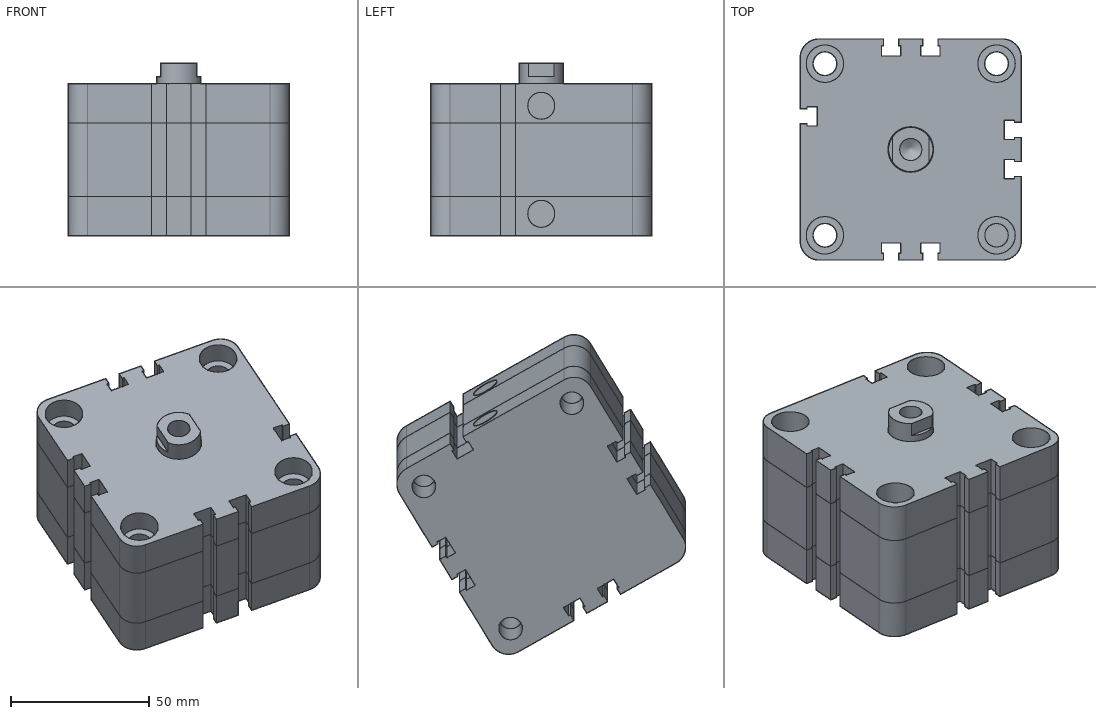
import cadquery as cq
import math

body_side = 80.0
body_height = 55.0
cap_height = 14.2
corner_radius = 7.0
half_side = body_side / 2
barrel_height = body_height - 2 * cap_height
barrel_base = cap_height
top_cap_base = cap_height + barrel_height

slot_mouth_width = 5.4
slot_lip_depth = 2.6
slot_inner_width = 6.9
slot_depth = 6.2
slot_pair_spacing = 14.2
single_slot_offset = 12.0

mount_spacing = 62.0
mount_hole_diameter = 8.5
counterbore_diameter = 13.5
counterbore_depth = 8.5

port_diameter = 9.8
port_depth = 0.2
port_end_distance = 8.0

rod_diameter = 16.0
rod_bore_diameter = 16.5
rod_projection = 7.4
flat_height = 5.0
across_flats = 13.0
rod_hole_diameter = 8.0
rod_hole_depth = 12.0
drill_point_angle = 118.0

mount_offset = mount_spacing / 2
blind_corner = (mount_offset, -mount_offset)
through_corners = [
    (-mount_offset, -mount_offset),
    (-mount_offset, mount_offset),
    (mount_offset, mount_offset),
]
all_corners = through_corners + [blind_corner]


def t_slot(side_angle, offset, base, height):
    """T-slot cutter on the +X side, moved along that side and then turned about Z."""
    mouth = cq.Workplane("XY").box(slot_depth, slot_mouth_width, height, centered=(False, True, False))
    inner_depth = slot_depth - slot_lip_depth
    inner = cq.Workplane("XY").box(inner_depth, slot_inner_width, height, centered=(False, True, False))
    return (
        mouth.union(inner)
        .translate((half_side - slot_depth, offset, base))
        .rotate((0, 0, 0), (0, 0, 1), side_angle)
    )


def slotted_block(base, height):
    """Rounded square block with a pair of T-slots on three sides and one on the -X side."""
    block = (
        cq.Workplane("XY", origin=(0, 0, base))
        .rect(body_side, body_side)
        .extrude(height)
        .edges("|Z")
        .fillet(corner_radius)
    )
    for side_angle in (-90, 0, 90):
        for direction in (-1, 1):
            block = block.cut(t_slot(side_angle, direction * slot_pair_spacing / 2, base, height))
    return block.cut(t_slot(180, -single_slot_offset, base, height))


def drill(block, corners, diameter, base, depth):
    """Cut round holes at the given corners, upward from the base height."""
    return block.cut(
        cq.Workplane("XY", origin=(0, 0, base)).pushPoints(corners).circle(diameter / 2).extrude(depth)
    )


def cut_port(cap, port_z):
    """Cut the shallow round port seat into the -X side."""
    return cap.cut(
        cq.Workplane("YZ", origin=(-half_side, 0, port_z)).circle(port_diameter / 2).extrude(port_depth)
    )


def make_bottom_cap():
    cap = slotted_block(0, cap_height)
    cap = drill(cap, through_corners, mount_hole_diameter, 0, cap_height)
    return cut_port(cap, port_end_distance)


def make_barrel():
    barrel = slotted_block(barrel_base, barrel_height)
    return drill(barrel, through_corners, mount_hole_diameter, barrel_base, barrel_height)


def make_top_cap():
    cap = slotted_block(top_cap_base, cap_height)
    cap = drill(cap, all_corners, mount_hole_diameter, top_cap_base, cap_height)
    cap = drill(cap, all_corners, counterbore_diameter, body_height - counterbore_depth, counterbore_depth)
    cap = drill(cap, [(0, 0)], rod_bore_diameter, top_cap_base, cap_height)
    return cut_port(cap, body_height - port_end_distance)


def make_rod():
    """Rod standing on the barrel, with flats on the X sides and a drilled hole in its end."""
    rod_top = body_height + rod_projection
    rod_length = rod_top - top_cap_base
    rod = cq.Workplane("XY", origin=(0, 0, top_cap_base)).circle(rod_diameter / 2).extrude(rod_length)
    flat_cutter = (
        cq.Workplane("XY", origin=(0, 0, rod_top - flat_height))
        .rect(2 * rod_diameter, 2 * rod_diameter)
        .rect(across_flats, 2 * rod_diameter)
        .extrude(flat_height)
    )
    hole_radius = rod_hole_diameter / 2
    point_depth = hole_radius / math.tan(math.radians(drill_point_angle / 2))
    hole_floor = rod_top - rod_hole_depth
    drilled_hole = (
        cq.Workplane("XZ")
        .moveTo(0, rod_top)
        .lineTo(hole_radius, rod_top)
        .lineTo(hole_radius, hole_floor)
        .lineTo(0, hole_floor - point_depth)
        .close()
        .revolve(360, (0, 0, 0), (0, 1, 0))
    )
    return rod.cut(flat_cutter).cut(drilled_hole)


bottom_cap = make_bottom_cap()
barrel = make_barrel()
top_cap = make_top_cap()
rod = make_rod()

result = cq.Compound.makeCompound([bottom_cap.val(), barrel.val(), top_cap.val(), rod.val()])